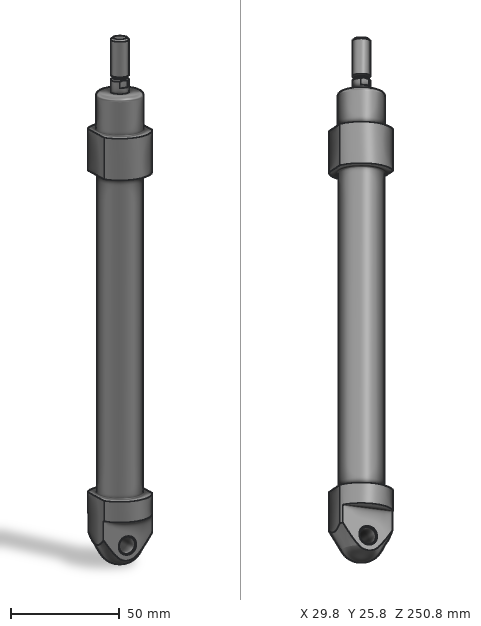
import cadquery as cq
import math

total_height = 250.8

cap_diameter = 29.8
cap_depth = 25.8
front_flat_y = -12.3
tube_diameter = 21.3
nose_diameter = 22.0
nose_top = 225.0
nose_fillet = 2.0
root_fillet = 0.8
front_cap_top = 206.7
front_cap_bottom = 186.8
rear_cap_top = 33.5
rear_cap_bottom = 23.8

eye_width = 15.8
eye_end_diameter = 21.3
eye_end_radius = eye_end_diameter / 2
eye_cone_angle = 60.0
pivot_hole_diameter = 8.0
pivot_hole_chamfer = 0.5
eye_root_fillet = 0.5

rod_diameter = 8.5
rod_bottom = front_cap_bottom
rod_chamfer = 1.0
groove_diameter = 6.5
groove_top = 233.0
groove_bottom = 230.7
groove_taper_height = 0.8
wrench_flat_bottom = 227.7
wrench_flat_width = 7.5


def cylinder(diameter, bottom, top):
    return cq.Workplane("XY").workplane(offset=bottom).circle(diameter / 2).extrude(top - bottom)


def cap_block(width, bottom, top):
    """Box between the two side flats, used to trim the round caps."""
    return (
        cq.Workplane("XY")
        .box(width, cap_depth, top - bottom, centered=(True, False, False))
        .translate((0, front_flat_y, bottom))
    )


def make_cap(bottom, top):
    return cylinder(cap_diameter, bottom, top).intersect(cap_block(cap_diameter, bottom, top))


def make_eye():
    """Tongue cut from a revolved blank: spherical end, then a tangent cone, then a cylinder."""
    angle = math.radians(eye_cone_angle)
    cap_radius = cap_diameter / 2
    tangent_r = eye_end_radius * math.sin(angle)
    tangent_z = eye_end_radius * (1 - math.cos(angle))
    mid_r = eye_end_radius * math.sin(angle / 2)
    mid_z = eye_end_radius * (1 - math.cos(angle / 2))
    cone_top_z = tangent_z + (cap_radius - tangent_r) * math.tan(angle)
    blank = (
        cq.Workplane("XZ")
        .moveTo(0, 0)
        .threePointArc((mid_r, mid_z), (tangent_r, tangent_z))
        .lineTo(cap_radius, cone_top_z)
        .lineTo(cap_radius, rear_cap_bottom)
        .lineTo(0, rear_cap_bottom)
        .close()
        .revolve(360, (0, 0, 0), (0, 1, 0))
    )
    eye = blank.intersect(cap_block(eye_width, 0, rear_cap_bottom))
    pivot_hole = (
        cq.Workplane("YZ")
        .center(0, eye_end_radius)
        .circle(pivot_hole_diameter / 2)
        .extrude(eye_width, both=True)
    )
    hole_rims = eye.cut(pivot_hole).faces("<X or >X").edges(cq.selectors.RadiusNthSelector(0))
    return hole_rims.chamfer(pivot_hole_chamfer)


def make_rear_end():
    """Rear cap and eye, with a small fillet along the root of each cheek."""
    rear_end = make_cap(rear_cap_bottom, rear_cap_top).union(make_eye())
    root_box = cq.selectors.BoxSelector(
        (-eye_width / 2 - eye_root_fillet, -cap_depth, rear_cap_bottom - eye_root_fillet),
        (eye_width / 2 + eye_root_fillet, cap_depth, rear_cap_bottom + eye_root_fillet),
    )
    return rear_end.edges("|Y").edges(root_box).fillet(eye_root_fillet)


def make_housing():
    nose = cylinder(nose_diameter, front_cap_top, nose_top).faces(">Z").edges().fillet(nose_fillet)
    tube = cylinder(tube_diameter, rear_cap_top, front_cap_bottom)
    body = (
        tube.union(nose)
        .union(make_cap(front_cap_bottom, front_cap_top))
        .union(make_rear_end())
    )
    for root_z in (rear_cap_top, front_cap_bottom, front_cap_top):
        root_box = cq.selectors.BoxSelector(
            (-root_fillet, -nose_diameter, root_z - root_fillet),
            (root_fillet, nose_diameter, root_z + root_fillet),
        )
        root_circles = body.edges("%CIRCLE").edges(root_box)
        body = root_circles.edges(cq.selectors.RadiusNthSelector(0)).fillet(root_fillet)
    rod_bore = cylinder(rod_diameter, rod_bottom, nose_top)
    return body.cut(rod_bore)


def make_rod():
    rod_radius = rod_diameter / 2
    groove_radius = groove_diameter / 2
    groove_middle = (groove_top + groove_bottom) / 2
    rod = (
        cq.Workplane("XZ")
        .polyline([
            (0, rod_bottom),
            (rod_radius, rod_bottom),
            (rod_radius, groove_bottom),
            (groove_radius, groove_bottom + groove_taper_height),
            (groove_radius, groove_top - groove_taper_height),
            (rod_radius, groove_top),
            (rod_radius, total_height - rod_chamfer),
            (rod_radius - rod_chamfer, total_height),
            (0, total_height),
        ])
        .close()
        .revolve(360, (0, 0, 0), (0, 1, 0))
    )
    flat_height = groove_middle - wrench_flat_bottom
    for side in (-1, 1):
        flat_cutter = cq.Workplane("XY").box(
            rod_diameter, rod_diameter, flat_height, centered=(True, True, False)
        )
        offset_x = side * (wrench_flat_width + rod_diameter) / 2
        rod = rod.cut(flat_cutter.translate((offset_x, 0, wrench_flat_bottom)))
    return rod


housing = make_housing()
rod = make_rod()
result = cq.Compound.makeCompound([housing.val(), rod.val()])